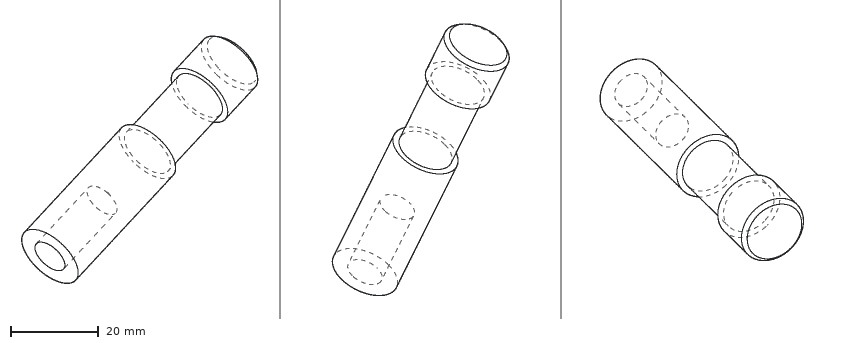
import cadquery as cq
import math

length = 70.0
body_diameter = 16.0
neck_diameter = 13.0
head_length = 12.5
neck_length = 20.0
head_chamfer = 1.0

hole_diameter = 8.5
hole_depth = 20.0
drill_point_angle = 118.0

body_radius = body_diameter / 2
neck_radius = neck_diameter / 2
hole_radius = hole_diameter / 2
neck_end = length - head_length
neck_start = neck_end - neck_length
drill_tip_length = hole_radius / math.tan(math.radians(drill_point_angle / 2))


def revolve_about_y(points):
    """Turn a closed (radius, Y) outline about the Y axis."""
    return cq.Workplane("XY").polyline(points).close().revolve(360, (0, 0, 0), (0, 1, 0))


pin = revolve_about_y([
    (0, 0),
    (body_radius, 0),
    (body_radius, neck_start),
    (neck_radius, neck_start),
    (neck_radius, neck_end),
    (body_radius, neck_end),
    (body_radius, length - head_chamfer),
    (body_radius - head_chamfer, length),
    (0, length),
])

hole = revolve_about_y([
    (0, 0),
    (hole_radius, 0),
    (hole_radius, hole_depth),
    (0, hole_depth + drill_tip_length),
])

result = pin.cut(hole)